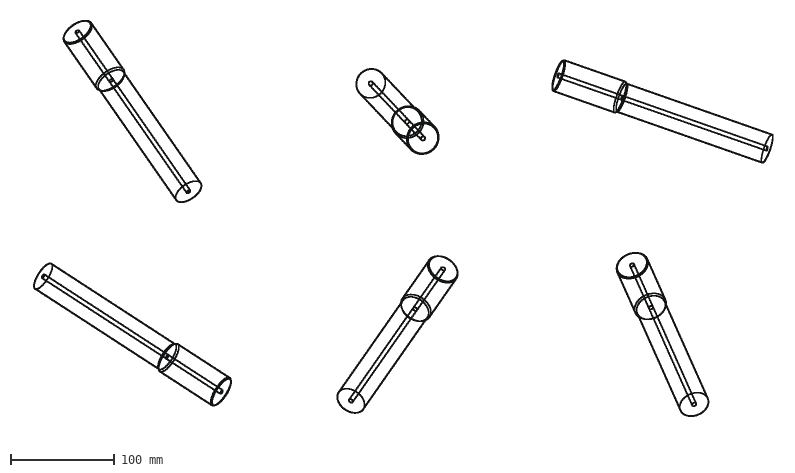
import cadquery as cq

total_length = 220.0
head_length = 67.0
shaft_length = total_length - head_length

head_diameter = 32.0
shaft_diameter = 29.0
bore_diameter = 4.2

front_chamfer = 1.0
shoulder_taper_length = 2.0
shoulder_taper_depth = (head_diameter - shaft_diameter) / 2


def make_head():
    """Thick front cylinder, tapered down to the shaft diameter at its rear."""
    blank = cq.Workplane("YZ").circle(head_diameter / 2).extrude(head_length)
    chamfered = blank.faces("<X").chamfer(front_chamfer)
    tapered = chamfered.faces(">X").edges().chamfer(shoulder_taper_length, shoulder_taper_depth)
    bore = cq.Workplane("YZ").circle(bore_diameter / 2).extrude(head_length)
    return tapered.cut(bore)


def make_shaft():
    """Plain bored cylinder butting against the rear face of the head."""
    return (
        cq.Workplane("YZ", origin=(head_length, 0, 0))
        .circle(shaft_diameter / 2)
        .circle(bore_diameter / 2)
        .extrude(shaft_length)
    )


head = make_head()
shaft = make_shaft()

result = cq.Compound.makeCompound([head.val(), shaft.val()])